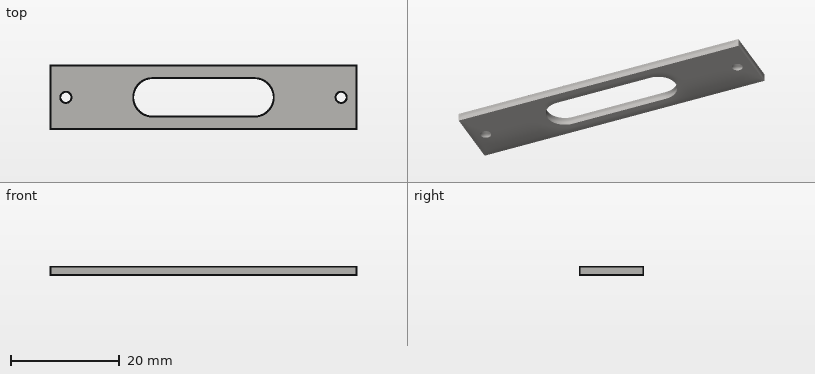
import cadquery as cq

plate_length = 56.25
plate_width = 11.72
plate_thickness = 1.56

hole_diameter = 2.01
hole_spacing = 50.6

window_length = 25.78
window_width = 7.03


def make_plate():
    return cq.Workplane("XY").box(plate_length, plate_width, plate_thickness)


def cut_screw_holes(body):
    hole_centers = [(-hole_spacing / 2, 0), (hole_spacing / 2, 0)]
    return body.faces(">Z").workplane().pushPoints(hole_centers).hole(hole_diameter)


def cut_window(body):
    return body.faces(">Z").workplane().slot2D(window_length, window_width).cutThruAll()


result = cut_window(cut_screw_holes(make_plate()))